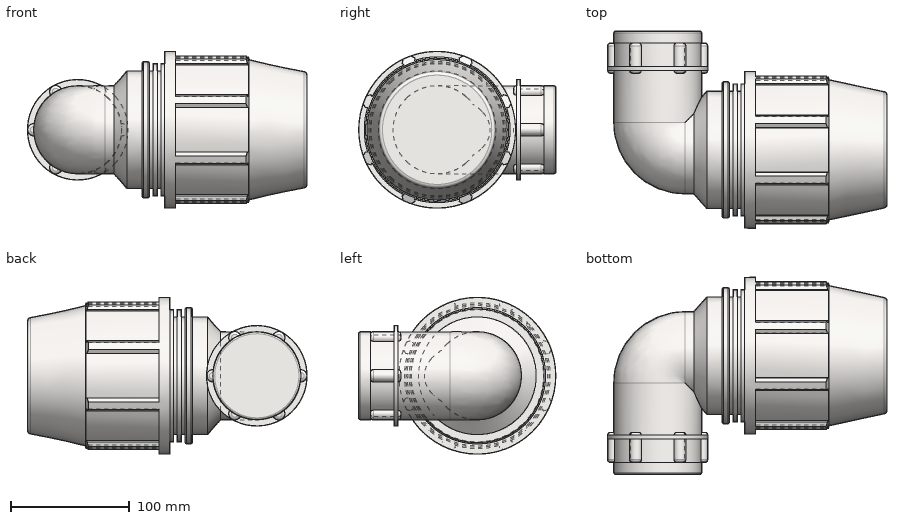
import cadquery as cq
import math

total_length = 235.4
total_depth = 166.0

pipe_radius = 74.1 / 2
bend_radius = 23.0

sleeve_radius = 73.7 / 2
cap_start = 90.0
cap_edge_round = 1.6
collar_radius = 84.7 / 2
collar_start = 66.8
collar_thickness = 3.3
pin_count = 6
pin_radius = 5.2
pin_circle_radius = 37.0
pin_start = 64.5
pin_edge_round = 2.4

cone_start = 30.4
cone_end = 41.5
body_radius = 99.0 / 2
lip_radius = 114.9 / 2
lip_start = 54.1
lip_thickness = 6.4
lip_chamfer = 1.2
thread_radius = 111.3 / 2
thread_starts = (63.5, 70.0)
thread_thickness = 3.5

flange_radius = 132.0 / 2
flange_start = 73.2
flange_thickness = 9.2
nut_radius = 61.5
nut_end = 144.0
grip_end_radius = 60.2
mouth_start_radius = 59.0
mouth_end_radius = 48.5
mouth_round = 3.0

rib_count = 8
rib_foot_half_width = 3.5
rib_foot_height = 58.8
rib_shoulder_half_width = 6.0
rib_shoulder_height = 62.8
rib_blank_half_width = 2.4
rib_blank_height = 67.3
flange_blank_radius = 70.5
rib_end = 141.7

outlet_end = total_depth - flange_radius
nut_face = total_length - collar_radius


def disc_x(start, thickness, radius):
    """Solid disc on the X axis."""
    return cq.Workplane("YZ").workplane(offset=start).circle(radius).extrude(thickness)


def disc_y(start, thickness, radius, x=0.0, z=0.0):
    """Solid disc parallel to the Y axis."""
    disc = cq.Workplane("XZ").circle(radius).extrude(-thickness)
    return disc.translate((x, start, z))


def make_bend():
    """Quarter-turn bend; the pipe section is cut off at the bend axis, which lies inside it."""
    half_chord = math.sqrt(pipe_radius**2 - bend_radius**2)
    section = (
        cq.Workplane("XZ", origin=(0, bend_radius, 0))
        .moveTo(bend_radius, half_chord)
        .threePointArc((-pipe_radius, 0), (bend_radius, -half_chord))
        .close()
    )
    return section.revolve(90, (bend_radius, 0, 0), (bend_radius, 1, 0))


def make_outlet():
    """Straight pipe with its end cap, collar and pins."""
    outlet = disc_y(bend_radius, collar_start - bend_radius, pipe_radius)
    outlet = outlet.union(disc_y(collar_start, cap_start - collar_start, sleeve_radius))
    cap = disc_y(cap_start, outlet_end - cap_start, pipe_radius)
    outlet = outlet.union(cap.faces(">Y").edges().fillet(cap_edge_round))
    outlet = outlet.union(disc_y(collar_start, collar_thickness, collar_radius))
    for index in range(pin_count):
        angle = 2 * math.pi * index / pin_count
        x = pin_circle_radius * math.cos(angle)
        z = pin_circle_radius * math.sin(angle)
        pin = disc_y(pin_start, cap_start - pin_start, pin_radius, x, z)
        outlet = outlet.union(pin.edges("%CIRCLE").fillet(pin_edge_round))
    return outlet


def make_body():
    """Straight neck, cone and cylinder with the lip and thread rings."""
    body = (
        cq.Workplane("XY")
        .moveTo(bend_radius, 0)
        .lineTo(bend_radius, pipe_radius)
        .lineTo(cone_start, pipe_radius)
        .lineTo(cone_end, body_radius)
        .lineTo(flange_start, body_radius)
        .lineTo(flange_start, 0)
        .close()
        .revolve(360, (0, 0, 0), (1, 0, 0))
    )
    lip = disc_x(lip_start, lip_thickness, lip_radius)
    body = body.union(lip.edges().chamfer(lip_chamfer))
    for start in thread_starts:
        body = body.union(disc_x(start, thread_thickness, thread_radius))
    return body


def make_rib():
    """Oversized grip rib along the top of the nut, with its foot sunk into the cylinder."""
    profile = (
        cq.Workplane("YZ")
        .workplane(offset=flange_start)
        .moveTo(-rib_foot_half_width, rib_foot_height)
        .lineTo(-rib_shoulder_half_width, rib_shoulder_height)
        .lineTo(-rib_blank_half_width, rib_blank_height)
        .lineTo(rib_blank_half_width, rib_blank_height)
        .lineTo(rib_shoulder_half_width, rib_shoulder_height)
        .lineTo(rib_foot_half_width, rib_foot_height)
        .close()
    )
    return profile.extrude(nut_end - flange_start)


def make_grip():
    """Flange and ribbed cylinder, turned down together to one outer profile."""
    grip = disc_x(flange_start, nut_end - flange_start, nut_radius)
    rib = make_rib()
    pitch = 360 / rib_count
    for index in range(rib_count):
        grip = grip.union(rib.rotate((0, 0, 0), (1, 0, 0), (index + 0.5) * pitch))
    grip = grip.union(disc_x(flange_start, flange_thickness, flange_blank_radius))
    envelope = (
        cq.Workplane("XY")
        .moveTo(flange_start, 0)
        .lineTo(flange_start, flange_radius)
        .lineTo(rib_end, flange_radius)
        .lineTo(nut_end, grip_end_radius)
        .lineTo(nut_end, 0)
        .close()
        .revolve(360, (0, 0, 0), (1, 0, 0))
    )
    return grip.intersect(envelope)


def make_mouth():
    """Tapered end of the nut with a rounded rim."""
    mouth = (
        cq.Workplane("XY")
        .moveTo(nut_end, 0)
        .lineTo(nut_end, mouth_start_radius)
        .lineTo(nut_face, mouth_end_radius)
        .lineTo(nut_face, 0)
        .close()
        .revolve(360, (0, 0, 0), (1, 0, 0))
    )
    return mouth.faces(">X").edges().fillet(mouth_round)


result = make_bend().union(make_outlet()).union(make_body()).union(make_grip()).union(make_mouth())